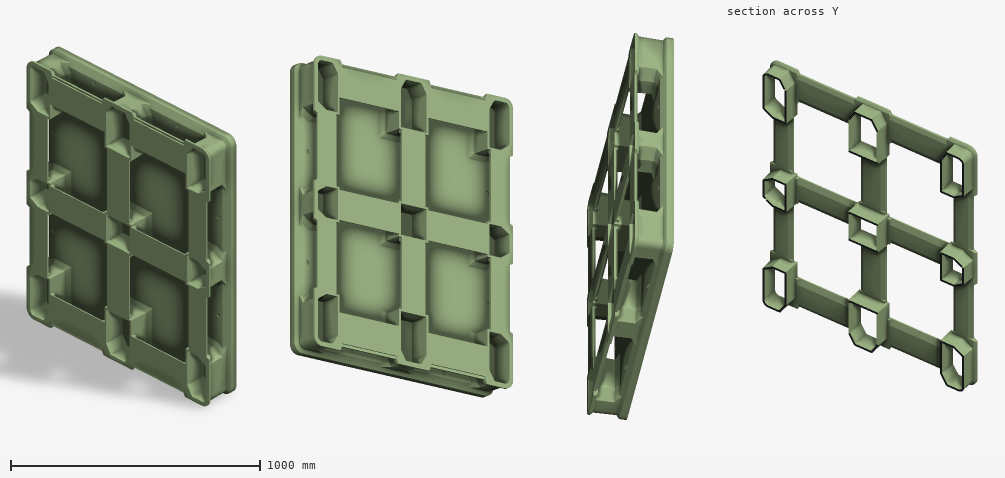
import cadquery as cq
import math


WIDTH = 1015.0
DEPTH = 158.0
HEIGHT = 1219.0
CORNER_RADIUS = 40.0
BASE_BOTTOM = -DEPTH / 2
DECK_TOP = DEPTH / 2

DECK_UNDERSIDE = 27.0
RIM_HEIGHT = 30.0
SOFFIT_SLOPE = 0.8
RIM_BOTTOM = DECK_TOP - RIM_HEIGHT
BEVEL_HEIGHT = RIM_BOTTOM - DECK_UNDERSIDE
BEVEL_RUN = BEVEL_HEIGHT / SOFFIT_SLOPE
SOFFIT_ANGLE = math.degrees(math.atan(1 / SOFFIT_SLOPE))

BASE_THICKNESS = 17.0
BASE_TOP = BASE_BOTTOM + BASE_THICKNESS
BASE_EDGE = 9.0
BASE_CHAMFER = BASE_THICKNESS - BASE_EDGE
WINDOW_X = (61.0, 395.0)
WINDOW_Z = (63.0, 451.0)

POST_HALF = 74.0
OUTER_POST_START = 378.0
WAIST_INSET = 11.0
POST_DRAFT = 1.5
POST_CHAMFER_IN = 49.0
POST_CHAMFER_ALONG = 30.0
FLARE_HEIGHT = 16.0
POST_WALL = 9.0
POCKET_FLOOR = 17.0
POCKET_EDGE_RADIUS = 12.0

ENTRY = (88.0, 366.0)
ENTRY_DEPTH = 17.0
ENTRY_FLANK = 9.0
RAMP_SLOPE = 0.47
THIN_EDGE = 5.0
LIP_RUN = 13.0

HOLE_DIAMETER = 18.0
HOLE_DEPTH = 4.0
HOLE_ALONG = 233.0
HOLE_EDGE_X = 49.0
HOLE_EDGE_Z = 44.0

SIGNS = (-1, 1)
OVERCUT = 12.0


def level(y):
    return cq.Workplane("ZX", origin=(0, y, 0))


def plate(inset, y, height, taper=0.0):
    """Rounded outline of the whole part, shrunk by inset and extruded up from y."""
    outline = cq.Sketch().rect(HEIGHT - 2 * inset, WIDTH - 2 * inset)
    outline = outline.vertices().fillet(CORNER_RADIUS - inset)
    return level(y).placeSketch(outline).extrude(height, taper=taper)


def post_outline(row, column, inset):
    """Corners (z, x) of one post, with every side moved in by inset.

    Corners on an outer side are chamfered beside an entry.
    """
    half_z, half_x = HEIGHT / 2 - WAIST_INSET, WIDTH / 2 - WAIST_INSET

    def span(place, half):
        if place == 0:
            return -POST_HALF + inset, POST_HALF - inset
        return OUTER_POST_START + inset, half - inset

    z0, z1 = span(row, half_z)
    x0, x1 = span(column, half_x)
    along, deep = POST_CHAMFER_ALONG, POST_CHAMFER_IN
    leg_scale = 1 + inset * (math.hypot(along, deep) - along - deep) / (along * deep)
    along, deep = along * leg_scale, deep * leg_scale
    if row and column:
        points = [(z0, x0), (z1 - deep, x0), (z1, x0 + along), (z1, x1), (z0 + along, x1), (z0, x1 - deep)]
    elif row:
        points = [(z0, x0), (z1 - deep, x0), (z1, x0 + along), (z1, x1 - along), (z1 - deep, x1), (z0, x1)]
    elif column:
        points = [(z0, x0), (z1, x0), (z1, x1 - deep), (z1 - along, x1), (z0 + along, x1), (z0, x1 - deep)]
    else:
        points = [(z0, x0), (z1, x0), (z1, x1), (z0, x1)]
    return [(z * (row or 1), x * (column or 1)) for z, x in points]


def post(row, column, inset, y, height, taper=0.0):
    """Prism on one post outline, extruded from y."""
    return level(y).polyline(post_outline(row, column, inset)).close().extrude(height, taper=taper)


def posts(*shape):
    """All nine posts of the same shape."""
    group = cq.Workplane("ZX")
    for row in (-1, 0, 1):
        for column in (-1, 0, 1):
            group = group.add(post(row, column, *shape))
    return group.combine()


def deck():
    slab = plate(0, RIM_BOTTOM, RIM_HEIGHT)
    return slab.union(plate(BEVEL_RUN, DECK_UNDERSIDE, BEVEL_HEIGHT, -SOFFIT_ANGLE))


def base():
    frame = plate(0, BASE_BOTTOM, BASE_EDGE)
    frame = frame.union(plate(0, BASE_BOTTOM + BASE_EDGE, BASE_CHAMFER, 45))
    length, width = WINDOW_Z[1] - WINDOW_Z[0], WINDOW_X[1] - WINDOW_X[0]
    middles = [(i * sum(WINDOW_Z) / 2, j * sum(WINDOW_X) / 2) for i in SIGNS for j in SIGNS]
    windows = level(BASE_BOTTOM).pushPoints(middles).rect(length, width).extrude(BASE_THICKNESS)
    return frame.cut(windows)


def drafted_posts():
    """Posts narrowing towards the deck, flared where they meet its underside."""
    post_height = RIM_BOTTOM - BASE_BOTTOM
    waist = plate(WAIST_INSET, BASE_BOTTOM, post_height, POST_DRAFT)
    flare_start = DECK_UNDERSIDE - FLARE_HEIGHT
    flare_height = RIM_BOTTOM - flare_start
    draft_inset = (flare_start - BASE_BOTTOM) * math.tan(math.radians(POST_DRAFT))
    flare_inset = draft_inset - flare_height / SOFFIT_SLOPE
    shafts = posts(0, BASE_BOTTOM, post_height, POST_DRAFT)
    flares = posts(flare_inset, RIM_BOTTOM, -flare_height, SOFFIT_ANGLE)
    return shafts.union(flares).intersect(waist)


def corner_pocket():
    """Hollow of the post at +X, +Z, rounded along its outer walls."""
    pocket = post(1, 1, POST_WALL, BASE_BOTTOM, POCKET_FLOOR - BASE_BOTTOM)
    pocket = pocket.edges("|Y").edges(">Z").edges(">X").fillet(CORNER_RADIUS - WAIST_INSET - POST_WALL)
    pocket = pocket.edges("|Y").edges(">Z").edges("<X").fillet(POCKET_EDGE_RADIUS)
    return pocket.edges("|Y").edges(">X").edges("<Z").fillet(POCKET_EDGE_RADIUS)


def pockets():
    """Hollows inside the nine posts, open at the base."""
    corner = corner_pocket()
    side = corner.add(corner.mirror("XY")).combine()
    hollows = side.add(side.mirror("YZ"))
    for row, column in [(0, 0), (1, 0), (-1, 0), (0, 1), (0, -1)]:
        hollows = hollows.add(post(row, column, POST_WALL, BASE_BOTTOM, POCKET_FLOOR - BASE_BOTTOM))
    return hollows.combine()


def along_entry(points):
    """Profile (z, y) extruded in X over the length of one entry."""
    start, end = ENTRY
    return cq.Workplane("ZY", origin=(end, 0, 0)).polyline(points).close().extrude(end - start)


def ramp(edge, edge_height, side):
    """Cut sloping the top of a rail down to an edge; the rail's edge faces +Z if side is 1, -Z if -1."""
    run = (BASE_THICKNESS - edge_height) / RAMP_SLOPE
    return along_entry([(edge, BASE_BOTTOM + edge_height), (edge - side * run, BASE_TOP), (edge, BASE_TOP)])


def entry_recess(edge):
    """Notch in the base edge at +edge, with its sides splayed outwards."""
    start, end = ENTRY
    inner = edge - ENTRY_DEPTH
    outer = edge + OVERCUT
    flank = ENTRY_FLANK * (ENTRY_DEPTH + OVERCUT) / ENTRY_DEPTH
    outline = [(inner, start), (outer, start - flank), (outer, end + flank), (inner, end)]
    notch = level(BASE_BOTTOM).polyline(outline).close().extrude(BASE_THICKNESS)
    return notch.union(ramp(inner, BASE_EDGE, 1))


def lip_undercut():
    """Groove below the outer edge of the rail, leaving a thin sloping lip."""
    inner = HEIGHT / 2 - ENTRY_DEPTH
    root = inner - LIP_RUN
    root_y = BASE_BOTTOM + LIP_RUN * RAMP_SLOPE
    return along_entry([(inner, BASE_BOTTOM), (root, root_y), (root, BASE_BOTTOM)])


def rail_cuts(outer_edge, window, window_edge):
    """Notch and ramps along one entry, for the two rails crossed by it."""
    near, far = window
    cuts = entry_recess(outer_edge)
    return cuts.union(ramp(near, window_edge, 1)).union(ramp(far, window_edge, -1))


def all_rail_cuts():
    on_ends = rail_cuts(HEIGHT / 2, WINDOW_Z, THIN_EDGE).union(lip_undercut())
    on_sides = rail_cuts(WIDTH / 2, WINDOW_X, BASE_EDGE).rotate((0, 0, 0), (0, 1, 0), 90).mirror("XY")
    quarter = on_ends.add(on_sides).combine()
    half = quarter.union(quarter.mirror("XY"))
    return half.union(half.mirror("YZ"))


def deck_holes():
    end_z, side_x = HEIGHT / 2 - HOLE_EDGE_Z, WIDTH / 2 - HOLE_EDGE_X
    places = [(i * end_z, j * HOLE_ALONG) for i in SIGNS for j in SIGNS]
    places += [(i * HOLE_ALONG, j * side_x) for i in SIGNS for j in SIGNS]
    return level(DECK_UNDERSIDE).pushPoints(places).circle(HOLE_DIAMETER / 2).extrude(HOLE_DEPTH)


frame = base().cut(all_rail_cuts())
body = deck().union(drafted_posts()).union(frame)
result = body.cut(pockets()).cut(deck_holes())